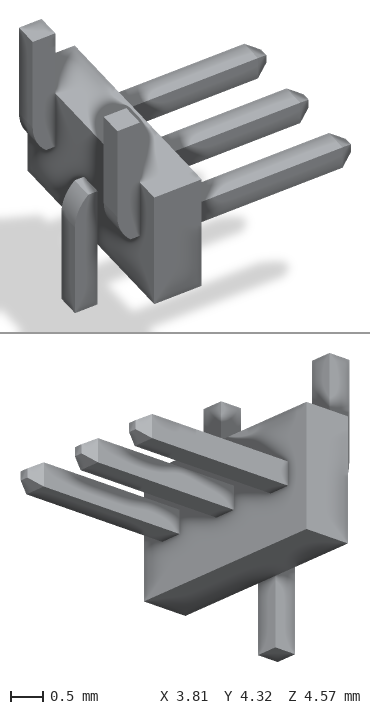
import cadquery as cq
import math

pitch = 1.27
pin_count = 3
pin_width = 0.41

housing_length = pin_count * pitch
housing_depth = 0.86
housing_height = 2.15

pin_reach = 3.05
tip_length = 0.23
tip_width = 0.155

tail_height = 2.285
bend_radius = 0.76

half_width = pin_width / 2
tail_face_y = -pin_width
inner_bend_radius = bend_radius - pin_width
bend_center_y = inner_bend_radius
bend_center_height = inner_bend_radius + half_width
taper_start_y = housing_depth + pin_reach - tip_length
tip_taper = math.degrees(math.atan2((pin_width - tip_width) / 2, tip_length))

heel_angle = math.asin(bend_center_height / bend_radius)


def bend_point(radius, angle, tail_side):
    """(y, z) on a bend arc, at an angle swept from the tail toward the pin."""
    y = bend_center_y - radius * math.cos(angle)
    z = bend_center_height - radius * math.sin(angle)
    return (y, tail_side * z)


def make_pin(x, tail_side):
    """Right-angle pin at x; its tail points up (tail_side = 1) or down (-1)."""
    quarter_turn = math.pi / 2
    heel = bend_point(bend_radius, heel_angle, tail_side)
    outer_middle = bend_point(bend_radius, heel_angle / 2, tail_side)
    outer_start = bend_point(bend_radius, 0, tail_side)
    inner_start = bend_point(inner_bend_radius, 0, tail_side)
    inner_middle = bend_point(inner_bend_radius, quarter_turn / 2, tail_side)
    inner_end = bend_point(inner_bend_radius, quarter_turn, tail_side)

    bent_bar = (
        cq.Workplane("YZ", origin=(-half_width, 0, 0))
        .moveTo(*heel)
        .threePointArc(outer_middle, outer_start)
        .lineTo(tail_face_y, tail_side * tail_height)
        .lineTo(0, tail_side * tail_height)
        .lineTo(*inner_start)
        .threePointArc(inner_middle, inner_end)
        .lineTo(taper_start_y, tail_side * half_width)
        .lineTo(taper_start_y, -tail_side * half_width)
        .lineTo(bend_center_y, -tail_side * half_width)
        .lineTo(bend_center_y, 0)
        .close()
        .extrude(pin_width)
    )
    tip = (
        cq.Workplane("XZ", origin=(0, taper_start_y, 0))
        .rect(pin_width, pin_width)
        .extrude(-tip_length, taper=tip_taper)
    )
    return bent_bar.union(tip).translate((x, 0, 0))


outer_pins = [make_pin(side * pitch, 1) for side in (-1, 1)]
middle_pin = make_pin(0, -1)

housing = (
    cq.Workplane("XY")
    .box(housing_length, housing_depth, housing_height)
    .translate((0, housing_depth / 2, 0))
    .union(middle_pin)
)
for pin in outer_pins:
    housing = housing.cut(pin)

bodies = [housing, *outer_pins]
result = cq.Compound.makeCompound([body.solids().val() for body in bodies])